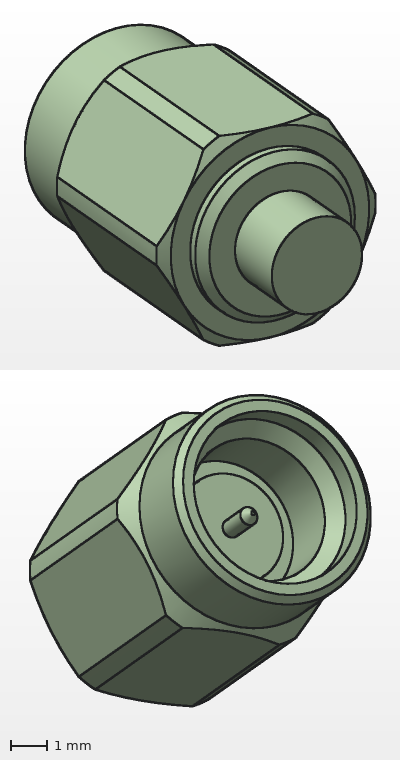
import cadquery as cq

length = 10.96
nut_start = 2.29
nut_end = 8.4
collar_end = 8.95
pin_tip_x = 1.38
insulator_face_x = 2.74
bore_floor_x = 3.07

sleeve_radius = 3.05
sleeve_chamfer = 0.21
across_flats = 6.35
flat_alignment_angle = 30.0
nut_corner_radius = 3.51
nut_front_chamfer = nut_corner_radius - sleeve_radius
nut_back_chamfer_length = 0.22
nut_back_radius = across_flats / 2
collar_radius = 2.55
collar_chamfer = 0.28
tail_radius = 1.45

entry_radius = 2.51
entry_depth = 0.7
bore_radius = 2.07
entry_taper_length = 0.4
insulator_radius = 1.6
pin_radius = 0.26
pin_tip_radius = 0.05
pin_tip_length = 0.26


def revolve_about_x(profile):
    """Revolve a closed profile of (x, radius) points about the X axis."""
    return cq.Workplane("XY").polyline(profile).close().revolve(360, (0, 0, 0), (1, 0, 0))


def disc(radius, start, end):
    return cq.Workplane("YZ").workplane(offset=start).circle(radius).extrude(end - start)


def make_sleeve():
    return disc(sleeve_radius, 0, nut_end).faces("<X").chamfer(sleeve_chamfer)


def make_nut():
    """Hexagon with flats facing +Z and -Z, its corners turned round and bevelled."""
    hexagon = (
        cq.Workplane("YZ")
        .workplane(offset=nut_start)
        .polygon(6, across_flats, circumscribed=True)
        .extrude(nut_end - nut_start)
        .rotate((0, 0, 0), (1, 0, 0), flat_alignment_angle)
    )
    turned_envelope = revolve_about_x([
        (nut_start, 0),
        (nut_start, sleeve_radius),
        (nut_start + nut_front_chamfer, nut_corner_radius),
        (nut_end - nut_back_chamfer_length, nut_corner_radius),
        (nut_end, nut_back_radius),
        (nut_end, 0),
    ])
    return hexagon.intersect(turned_envelope)


def make_cable_end():
    collar = disc(collar_radius, nut_end, collar_end).faces(">X").chamfer(collar_chamfer)
    return collar.union(disc(tail_radius, nut_end, length))


def make_bore():
    """Wide entry tapering down to a straight blind bore."""
    return revolve_about_x([
        (0, 0),
        (0, entry_radius),
        (entry_depth, entry_radius),
        (entry_depth + entry_taper_length, bore_radius),
        (bore_floor_x, bore_radius),
        (bore_floor_x, 0),
    ])


def make_pin():
    """Center contact with a blunt conical tip, rooted in the bore floor."""
    return revolve_about_x([
        (pin_tip_x, 0),
        (pin_tip_x, pin_tip_radius),
        (pin_tip_x + pin_tip_length, pin_radius),
        (bore_floor_x, pin_radius),
        (bore_floor_x, 0),
    ])


shell = make_sleeve().union(make_nut()).union(make_cable_end()).cut(make_bore())
insulator = disc(insulator_radius, insulator_face_x, bore_floor_x)
result = shell.union(insulator).union(make_pin())